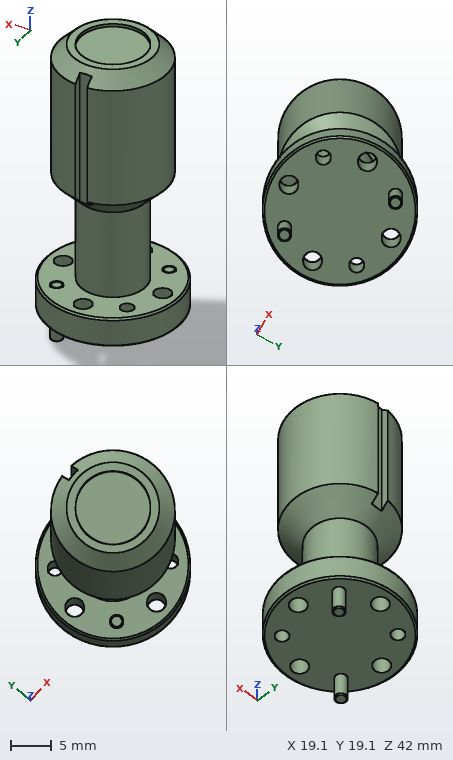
import cadquery as cq
import math

total_height = 41.95

flange_radius = 9.53
flange_bottom = 3.78
flange_thickness = 4.1
flange_chamfer = 0.25
flange_top = flange_bottom + flange_thickness

bolt_circle_radius = 7.15
screw_hole_radius = 1.18
screw_hole_angles = [0, 90, 180, 270]
guide_hole_radius = 0.92
guide_hole_angles = [135, 315]
pin_radius = 0.85
pin_chamfer = 0.15
pin_angles = [45, 225]

neck_radius = 4.6
grip_radius = 7.65
grip_bottom = 20.3
grip_lower_taper = grip_radius - neck_radius
grip_upper_taper = 1.95
grip_top_radius = grip_radius - grip_upper_taper

recess_radius = neck_radius
recess_depth = 0.4

keyway_width = 1.68
keyway_floor = 6.5


def bolt_circle_point(angle):
    """Position on the bolt circle at an angle in degrees from +X."""
    turn = math.radians(angle)
    return (bolt_circle_radius * math.cos(turn), bolt_circle_radius * math.sin(turn))


def flange_holes(radius, angles):
    """Cylinders through the flange, used to cut one kind of hole."""
    return (
        cq.Workplane("XY")
        .workplane(offset=flange_bottom)
        .pushPoints([bolt_circle_point(angle) for angle in angles])
        .circle(radius)
        .extrude(flange_thickness)
    )


def make_flange():
    return (
        cq.Workplane("XY")
        .workplane(offset=flange_bottom)
        .circle(flange_radius)
        .extrude(flange_thickness)
        .edges()
        .chamfer(flange_chamfer)
        .cut(flange_holes(screw_hole_radius, screw_hole_angles))
        .cut(flange_holes(guide_hole_radius, guide_hole_angles))
        .cut(flange_holes(pin_radius, pin_angles))
    )


def make_neck_and_grip():
    """Revolved neck and grip, with the end recess in the profile."""
    recess_floor = total_height - recess_depth
    profile = [
        (0, flange_top),
        (neck_radius, flange_top),
        (neck_radius, grip_bottom),
        (grip_radius, grip_bottom + grip_lower_taper),
        (grip_radius, total_height - grip_upper_taper),
        (grip_top_radius, total_height),
        (recess_radius, total_height),
        (recess_radius, recess_floor),
        (0, recess_floor),
    ]
    return cq.Workplane("XZ").polyline(profile).close().revolve(360, (0, 0), (0, 1))


def make_keyway():
    """Cutter running the full length of the grip."""
    return (
        cq.Workplane("XY")
        .box(
            keyway_width,
            grip_radius - keyway_floor,
            total_height - grip_bottom,
            centered=(True, False, False),
        )
        .translate((0, keyway_floor, grip_bottom))
    )


def make_pin(angle):
    """Dowel pin flush with the flange top and standing out below it."""
    x, y = bolt_circle_point(angle)
    return (
        cq.Workplane("XY")
        .circle(pin_radius)
        .extrude(flange_top)
        .edges()
        .chamfer(pin_chamfer)
        .translate((x, y, 0))
    )


flanged_body = make_flange().union(make_neck_and_grip()).cut(make_keyway())
pins = [make_pin(angle).val() for angle in pin_angles]

result = cq.Compound.makeCompound([flanged_body.val(), *pins])